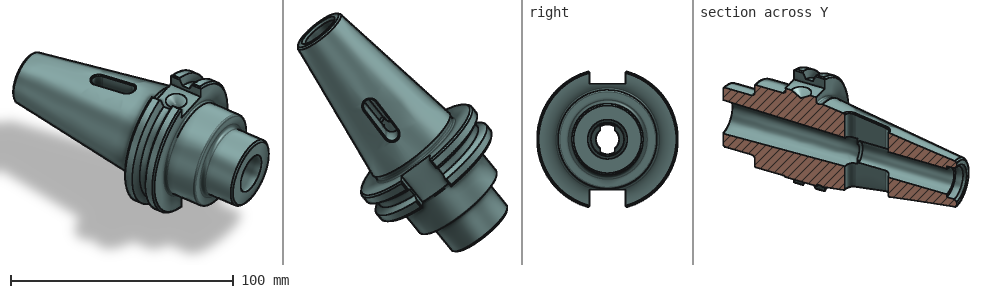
import cadquery as cq
import math

total_length = 119.0
taper_length = 68.2
relief_start = 69.6
flange_start = 71.4
flange_end = 87.3
body_end = 103.0

gauge_diameter = 44.4
relief_diameter = 43.6
flange_diameter = 63.5
groove_diameter = 56.4
nose_diameter = 32.0

tip_chamfer = 0.8
flange_chamfer = 0.8
body_round = 0.7
nose_chamfer = 0.8
relief_fillet = 0.7
flange_fillet = 1.1
nose_fillet = 1.8

taper_ratio = 7 / 24
groove_center = 79.4
groove_floor_width = 3.5
groove_overrun = 1.2
groove_half_angle = math.radians(27)

notch_width = 16.1
top_notch_floor = 25.0
bottom_notch_floor = 22.7
notch_chamfer = 0.6
dimple_diameter = 9.5
dimple_half_angle = math.radians(59)

mouth_diameter = 18.7
counterbore_diameter = 16.3
counterbore_depth = 5.0
bore_diameter = 13.3
throat_diameter = 10.4
drill_half_angle = math.radians(59)
socket_end = 52.4
socket_small_diameter = 14.9
socket_large_diameter = 17.7

slot_start = 35.0
slot_end = 56.9
slot_width = 6.3
slot_chamfer = 0.6

gauge_radius = gauge_diameter / 2
relief_radius = relief_diameter / 2
flange_radius = flange_diameter / 2
groove_radius = groove_diameter / 2
nose_radius = nose_diameter / 2
tip_radius = gauge_radius - taper_length * taper_ratio / 2



def revolve(outline):
    return outline.close().revolve(360, (0, 0, 0), (1, 0, 0))


def outer_body():
    arc_gap = 1 - math.sqrt(0.5)
    outline = (
        cq.Workplane("XY")
        .lineTo(0, tip_radius + tip_chamfer * (taper_ratio / 2 - 1))
        .lineTo(tip_chamfer, tip_radius + tip_chamfer * taper_ratio / 2)
        .lineTo(taper_length, gauge_radius)
        .lineTo(relief_start, relief_radius)
        .lineTo(flange_start - relief_fillet, relief_radius)
        .threePointArc(
            (flange_start - relief_fillet * arc_gap, relief_radius + relief_fillet * arc_gap),
            (flange_start, relief_radius + relief_fillet),
        )
        .lineTo(flange_start, flange_radius - flange_chamfer)
        .lineTo(flange_start + flange_chamfer, flange_radius)
        .lineTo(flange_end - flange_chamfer, flange_radius)
        .lineTo(flange_end, flange_radius - flange_chamfer)
        .lineTo(flange_end, gauge_radius + flange_fillet)
        .threePointArc(
            (flange_end + flange_fillet * arc_gap, gauge_radius + flange_fillet * arc_gap),
            (flange_end + flange_fillet, gauge_radius),
        )
        .lineTo(body_end - body_round, gauge_radius)
        .threePointArc(
            (body_end - body_round * arc_gap, gauge_radius - body_round * arc_gap),
            (body_end, gauge_radius - body_round),
        )
        .lineTo(body_end, nose_radius + nose_fillet)
        .threePointArc(
            (body_end + nose_fillet * arc_gap, nose_radius + nose_fillet * arc_gap),
            (body_end + nose_fillet, nose_radius),
        )
        .lineTo(total_length - nose_chamfer, nose_radius)
        .lineTo(total_length, nose_radius - nose_chamfer)
        .lineTo(total_length, 0)
    )
    return revolve(outline)


def gripper_groove():
    floor_half = groove_floor_width / 2
    rim_radius = flange_radius + groove_overrun
    rim_half = floor_half + (rim_radius - groove_radius) * math.tan(groove_half_angle)
    outline = (
        cq.Workplane("XY")
        .moveTo(groove_center - floor_half, groove_radius)
        .lineTo(groove_center + floor_half, groove_radius)
        .lineTo(groove_center + rim_half, rim_radius)
        .lineTo(groove_center - rim_half, rim_radius)
    )
    return revolve(outline)


def drive_notch(floor):
    """Notch on the +Z side with its mouth flared at the flange diameter."""
    half = notch_width / 2
    mouth_half = half + notch_chamfer
    mouth_height = math.sqrt(flange_radius**2 - mouth_half**2)
    profile = (
        cq.Workplane("YZ", origin=(flange_start, 0, 0))
        .moveTo(-half, floor)
        .lineTo(-half, mouth_height - notch_chamfer)
        .lineTo(-mouth_half, mouth_height)
        .lineTo(-mouth_half, flange_radius)
        .lineTo(mouth_half, flange_radius)
        .lineTo(mouth_half, mouth_height)
        .lineTo(half, mouth_height - notch_chamfer)
        .lineTo(half, floor)
        .close()
    )
    return profile.extrude(flange_end + flange_fillet - flange_start)


def dimple():
    radius = dimple_diameter / 2
    depth = radius / math.tan(dimple_half_angle)
    apex = cq.Vector(groove_center, 0, top_notch_floor - depth)
    return cq.Workplane(obj=cq.Solid.makeCone(0, radius, depth, apex, cq.Vector(0, 0, 1)))


def bore():
    bore_radius = bore_diameter / 2
    throat_radius = throat_diameter / 2
    mouth_depth = (mouth_diameter - counterbore_diameter) / 2
    drill_depth = (bore_radius - throat_radius) / math.tan(drill_half_angle)
    outline = (
        cq.Workplane("XY")
        .lineTo(0, mouth_diameter / 2)
        .lineTo(mouth_depth, counterbore_diameter / 2)
        .lineTo(counterbore_depth, counterbore_diameter / 2)
        .lineTo(counterbore_depth, bore_radius)
        .lineTo(socket_end - drill_depth, bore_radius)
        .lineTo(socket_end, throat_radius)
        .lineTo(socket_end, socket_small_diameter / 2)
        .lineTo(total_length, socket_large_diameter / 2)
        .lineTo(total_length, 0)
    )
    return revolve(outline)


def ejector_slot():
    return (
        cq.Workplane("XY")
        .center((slot_start + slot_end) / 2, 0)
        .slot2D(slot_end - slot_start, slot_width)
        .extrude(gauge_radius, both=True)
    )


rim_margin = 1.2
slotted = outer_body().cut(ejector_slot())
rim_box = cq.selectors.BoxSelector(
    (slot_start - rim_margin, -slot_width, -gauge_radius),
    (slot_end + rim_margin, slot_width, gauge_radius),
)
slotted = slotted.faces("%CONE").edges(rim_box).chamfer(slot_chamfer)

result = (
    slotted.cut(gripper_groove())
    .cut(drive_notch(top_notch_floor))
    .cut(drive_notch(bottom_notch_floor).rotate((0, 0, 0), (1, 0, 0), 180))
    .cut(dimple())
    .cut(bore())
)